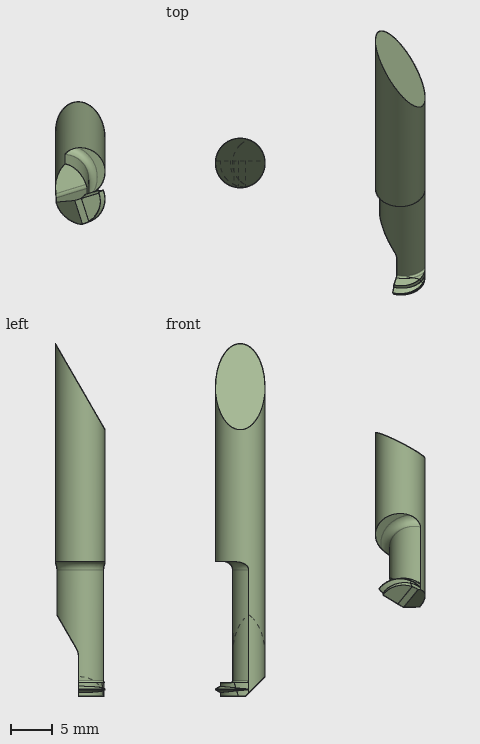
import cadquery as cq
import math

length = 42.45
shank_radius = 2.993
shank_diameter = 2 * shank_radius
slant_angle = math.radians(60)
slant_drop = shank_diameter * math.tan(slant_angle)

neck_radius = 3.0
neck_axis_x = 2.1
neck_top = 16.2
neck_top_fillet = 1.0
neck_base_fillet = 0.25

rake_y = 0.2
rake_top = 5.3
rake_runout_height = (shank_radius - rake_y) * math.tan(slant_angle)
rake_fillet = 2.12
cut_overrun = 0.42

head_height = 1.65
head_radius = 2.865
head_axis_x = 0.45
tooth_height = 0.85
tooth_depth = 0.85
tooth_half_angle = math.radians(30)
tooth_tip_flat = 0.1

relief_size = 2.38

joint_bottom_x = -0.2
joint_top_x = -0.72


def round_bar(radius, height, axis_x=0.0, base=0.0):
    return cq.Workplane("XY").center(axis_x, 0).circle(radius).extrude(height).translate((0, 0, base))


def prism_along_x(points):
    """Prism through the whole width, from a YZ outline."""
    return cq.Workplane("YZ").polyline(points).close().extrude(shank_diameter, both=True)


def prism_along_y(points):
    """Prism through the whole depth, from an XZ outline."""
    return cq.Workplane("XZ").polyline(points).close().extrude(shank_diameter, both=True)


def fillet_flare(base, height, direction):
    """Neck end that flares from the neck wall out to a flat shoulder at base."""
    end = base + direction * height
    middle = height * (1 - math.sqrt(0.5))
    return (
        cq.Workplane("XZ")
        .moveTo(0, base)
        .lineTo(neck_radius + height, base)
        .threePointArc((neck_radius + middle, base + direction * middle), (neck_radius, end))
        .lineTo(0, end)
        .close()
        .revolve(360, (0, 0, 0), (0, 1, 0))
        .translate((neck_axis_x, 0, 0))
    )


def tooth_ring():
    """Ring around the shank axis with a V edge; it fades into the eccentric head."""
    half_tip = tooth_tip_flat / 2
    half_root = half_tip + tooth_depth * math.tan(tooth_half_angle)
    root_radius = shank_radius - tooth_depth
    return (
        cq.Workplane("XZ")
        .polyline([
            (0, tooth_height - half_root),
            (root_radius, tooth_height - half_root),
            (shank_radius, tooth_height - half_tip),
            (shank_radius, tooth_height + half_tip),
            (root_radius, tooth_height + half_root),
            (0, tooth_height + half_root),
        ])
        .close()
        .revolve(360, (0, 0, 0), (0, 1, 0))
    )


def rake_cutter():
    """Everything removed on the +Y side of the neck and head."""
    outer_y = 2 * shank_radius
    runout_top = rake_top + rake_runout_height
    cutter = prism_along_x([
        (rake_y, -cut_overrun), (rake_y, rake_top), (shank_radius, runout_top), (outer_y, runout_top),
        (outer_y, -cut_overrun),
    ])
    corner = cq.selectors.NearestToPointSelector((0, rake_y, rake_top))
    return cutter.edges(corner).fillet(rake_fillet)


def make_blank():
    """Whole tool shape before the tip is divided from the holder."""
    envelope = round_bar(shank_radius, length)
    neck = round_bar(neck_radius, neck_top, neck_axis_x)
    top_flare = fillet_flare(neck_top, neck_top_fillet, -1)
    base_flare = fillet_flare(head_height, neck_base_fillet, 1)
    head = round_bar(head_radius, head_height, head_axis_x)
    shank = round_bar(shank_radius, length - neck_top, base=neck_top)
    blank = neck.union(top_flare).union(base_flare).union(head).union(tooth_ring())
    blank = blank.intersect(envelope).union(shank)

    slant = prism_along_x([
        (shank_radius, length), (-shank_radius, length), (-shank_radius, length - slant_drop),
    ])
    relief = prism_along_y([
        (shank_radius - relief_size, 0), (shank_radius, 0), (shank_radius, relief_size),
    ])
    return blank.cut(slant).cut(relief).cut(rake_cutter())


def tip_region():
    """Space on the -X side of the sloping joint, up to the head height."""
    return prism_along_y([
        (-shank_diameter, 0), (joint_bottom_x, 0), (joint_top_x, head_height), (-shank_diameter, head_height),
    ])


blank = make_blank()
cutting_tip = blank.intersect(tip_region())
holder = blank.cut(tip_region())

result = cq.Compound.makeCompound([holder.val(), cutting_tip.val()])